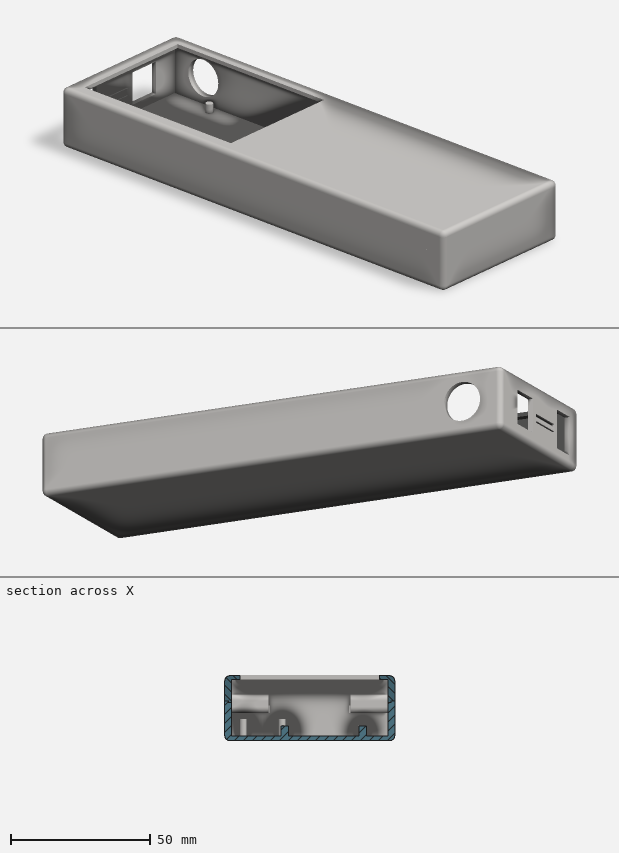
import cadquery as cq

length = 185.2
width = 61.2
height = 23.5
edge_radius = 2.0
side_wall = 2.6
end_wall = 2.0
floor = 1.8
roof = 1.5
inner_length = length - 2 * end_wall
inner_width = width - 2 * side_wall

seam_z = 14.4
lip_depth = 0.55
lip_thickness = end_wall / 2

window_x_min = -86.35
window_length = 70.8
window_width = 49.75

usb_opening = (5.4, 17.9, 4.9, 17.7)
power_opening = (-23.8, -13.8, 4.3, 18.8)
card_opening = (-11.7, 3.0, 9.4, 12.7)

tongue_side_gap = 0.5
tongue_bottom_gap = 0.6
tongue_depth = 2.5
tongue_radius = 2.2

side_hole_diameter = 14.5
side_hole_x = -76.8
side_hole_z = 12.0

pin_diameter = 2.8
pin_top_z = 5.4
board_x = -85.65
board_y = -26.62
pin_offsets = [(13.97, 2.54), (15.24, 50.8), (66.04, 7.62), (66.04, 35.56)]

post_diameter = 2.5
post_top_z = 7.7
post_places = [(4.2, 23.8), (16.0, 9.85)]

ledge_inner_y = 14.7
ledge_bottom_z = 9.9
ledge_top_z = 16.6
ledge_depth = 3.0
ledge_radius = 2.1
ledge_step_width = 0.5
ledge_step_top_z = 12.7
ledge_step_depth = 1.0


def block(x_range, y_range, z_range):
    """Axis-aligned box between the given limits."""
    size = [high - low for low, high in (x_range, y_range, z_range)]
    corner = (x_range[0], y_range[0], z_range[0])
    return cq.Workplane("XY").box(*size, centered=False).translate(corner)


def centred_block(size_x, size_y, z_min, z_max):
    """Box centred on X and Y between two heights."""
    return block((-size_x / 2, size_x / 2), (-size_y / 2, size_y / 2), (z_min, z_max))


def hollow_shell():
    """Complete rounded housing, before it is parted into base and lid."""
    outside = centred_block(length, width, 0, height).edges().fillet(edge_radius)
    return outside.cut(centred_block(inner_length, inner_width, floor, height - roof))


def lid_region():
    """Space that belongs to the lid: all above the seam, plus its inner lip."""
    above_seam = centred_block(length, width, seam_z, height)
    lip_length = inner_length + 2 * lip_thickness
    lip_width = inner_width + 2 * lip_thickness
    return above_seam.union(centred_block(lip_length, lip_width, seam_z - lip_depth, seam_z))


def wall_opening(y_min, y_max, z_min, z_max):
    """Cutter for a rectangular opening through the -X wall."""
    return block((-length / 2, -inner_length / 2), (y_min, y_max), (z_min, z_max))


def side_hole():
    """Cutter for the round hole through the +Y wall."""
    hole = cq.Workplane("XZ").center(side_hole_x, side_hole_z).circle(side_hole_diameter / 2)
    return hole.extrude(-side_wall).translate((0, inner_width / 2, 0))


def display_window():
    """Cutter for the rectangular window through the roof."""
    x_range = (window_x_min, window_x_min + window_length)
    return block(x_range, (-window_width / 2, window_width / 2), (height - roof, height))


def card_tongue():
    """Bar in the card opening, joined to its -Y side and top, with a rounded upper front edge."""
    y_min, y_max, z_min, z_max = card_opening
    bar = block((-length / 2, -length / 2 + tongue_depth), (y_min, y_max - tongue_side_gap),
                (z_min + tongue_bottom_gap, z_max))
    return bar.edges("<X and >Z").fillet(tongue_radius)


def floor_pins(places, diameter, top_z):
    """Round pins standing on the floor at the given places."""
    pins = cq.Workplane("XY").workplane(offset=floor).pushPoints(places)
    return pins.circle(diameter / 2).extrude(top_z - floor)


def corner_ledge(side):
    """Ledge on the +X wall, rounded above and below; side is +1 or -1 along Y."""
    wall_x = inner_length / 2

    def y_range(start, end):
        return sorted((side * start, side * end))

    ledge = block((wall_x - ledge_depth, wall_x), y_range(ledge_inner_y, inner_width / 2),
                  (ledge_bottom_z, ledge_top_z))
    ledge = ledge.edges("|Y and <X").fillet(ledge_radius)
    step = block((wall_x - ledge_step_depth, wall_x),
                 y_range(ledge_inner_y - ledge_step_width, ledge_inner_y),
                 (ledge_bottom_z, ledge_step_top_z))
    return ledge.union(step)


def opened_shell():
    """Housing with every opening of its walls cut."""
    shell = hollow_shell().cut(side_hole())
    for opening in (usb_opening, power_opening, card_opening):
        shell = shell.cut(wall_opening(*opening))
    return shell


def make_base():
    """Lower tray; its ledges rise past the seam and touch the inside of the lid wall."""
    base = opened_shell().cut(lid_region()).union(card_tongue())
    board_pins = [(board_x + x, board_y + y) for x, y in pin_offsets]
    base = base.union(floor_pins(board_pins, pin_diameter, pin_top_z))
    base = base.union(floor_pins(post_places, post_diameter, post_top_z))
    for side in (-1, 1):
        base = base.union(corner_ledge(side))
    return base


def make_lid():
    """Upper cover with the display window."""
    return opened_shell().intersect(lid_region()).cut(display_window())


base = make_base()
lid = make_lid()
result = cq.Compound.makeCompound([*base.solids().vals(), *lid.solids().vals()])